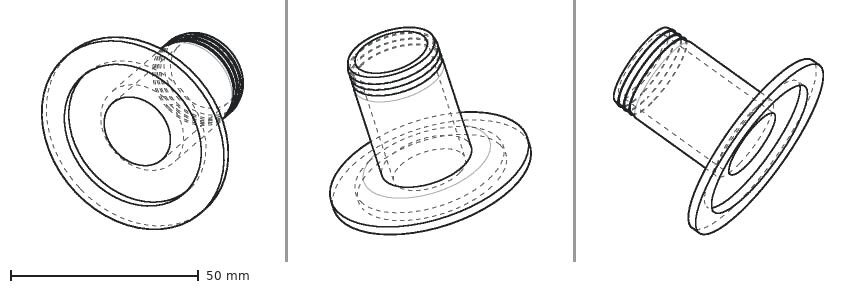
import cadquery as cq
import math


total_length = 40.0
bore_diameter = 20.0

flange_diameter = 55.0
flange_thickness = 5.15
rim_thickness = 2.5
flange_taper_angle = 15.0

recess_diameter = 41.3
recess_depth = 2.5

tube_diameter = 25.0
barb_count = 4
barb_pitch = 1.86
barb_depth = 0.5

flange_radius = flange_diameter / 2
tube_radius = tube_diameter / 2
barb_root_radius = tube_radius - barb_depth
barbs_start = total_length - barb_count * barb_pitch
taper_run = (flange_thickness - rim_thickness) / math.tan(math.radians(flange_taper_angle))
flange_back_radius = flange_radius - taper_run


def make_body():
    """Revolve the outer outline; the sketch plane has radius along Z and length along Y."""
    outline = (
        cq.Workplane("ZY")
        .moveTo(0, 0)
        .lineTo(flange_radius, 0)
        .lineTo(flange_radius, rim_thickness)
        .lineTo(flange_back_radius, flange_thickness)
        .lineTo(tube_radius, flange_thickness)
    )
    for barb in range(barb_count):
        barb_base = barbs_start + barb * barb_pitch
        outline = outline.lineTo(tube_radius, barb_base)
        outline = outline.lineTo(barb_root_radius, barb_base + barb_pitch)
    outline = outline.lineTo(0, total_length).close()
    return outline.revolve(360, (0, 0, 0), (0, 1, 0))


def cylinder_from_face(diameter, depth):
    """Cylinder that starts at the flange face and runs toward +Y."""
    return cq.Workplane("XZ").circle(diameter / 2).extrude(-depth)


body = make_body()
recess = cylinder_from_face(recess_diameter, recess_depth)
bore = cylinder_from_face(bore_diameter, total_length)
result = body.cut(recess).cut(bore)